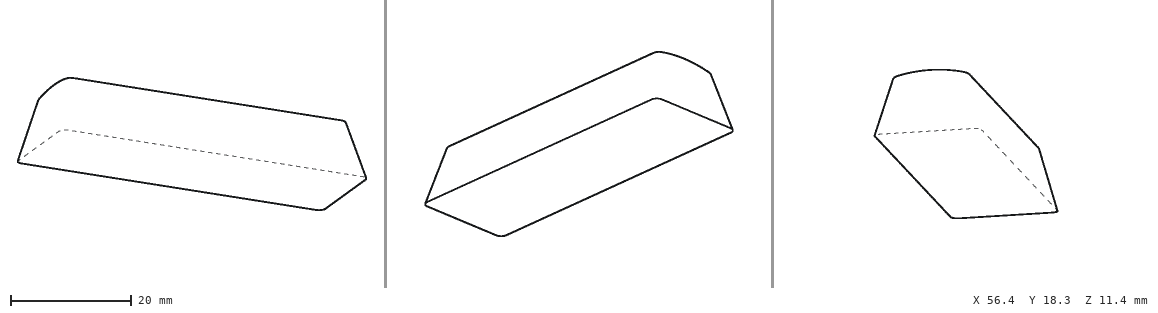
import cadquery as cq

length = 56.4
width = 18.3
height = 11.4

draft_angle = 14.0
crown_radius = 22.0
corner_radius = 1.25
rim_radius = 0.6


def tapered_block():
    """Rectangular block with leaning walls and rounded corner edges.

    The crown is highest along the centre line, so the full height is reached there.
    """
    block = cq.Workplane("XY").rect(length, width).extrude(height, taper=draft_angle)
    wall_corners = block.edges("not(#Z or |X or |Y)")
    return wall_corners.fillet(corner_radius)


def crown_cylinder():
    """Cylinder along X whose uppermost line is the ridge of the crowned top."""
    return (
        cq.Workplane("YZ", origin=(0, 0, height - crown_radius))
        .circle(crown_radius)
        .extrude(length / 2, both=True)
    )


crowned_block = tapered_block().intersect(crown_cylinder())

result = crowned_block.faces(">Z").edges().fillet(rim_radius)